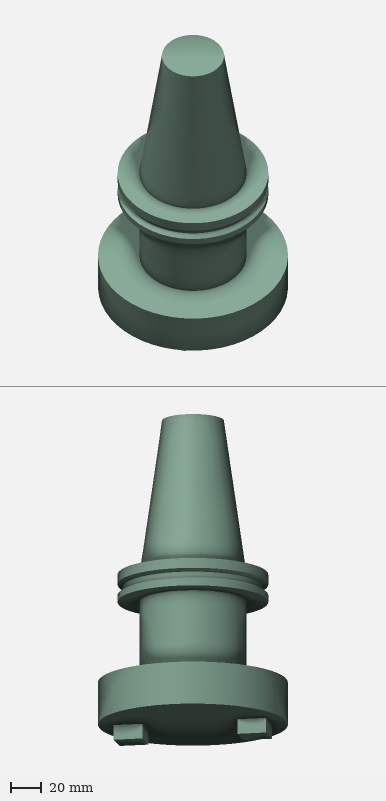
import cadquery as cq

overall_height = 212.8
key_height = 9.8
body_top = 37.9
flange_bottom = 91.7
lower_rim_top = 96.2
groove_bottom = 98.1
groove_top = 101.7
upper_rim_bottom = 103.5
flange_top = 110.0
collar_height = 1.0

body_radius = 123.9 / 2
neck_radius = 35.0
flange_radius = 49.2
groove_radius = 45.8
taper_small_radius = 20.2

key_width = 18.7
key_inner_edge = 31.7
key_outer_edge = 50.9
key_length = key_outer_edge - key_inner_edge


def make_holder():
    """Turned tool holder: body, neck, grooved flange and taper shank."""
    half_profile = [
        (0, key_height),
        (body_radius, key_height),
        (body_radius, body_top),
        (neck_radius, body_top),
        (neck_radius, flange_bottom),
        (flange_radius, flange_bottom),
        (flange_radius, lower_rim_top),
        (groove_radius, groove_bottom),
        (groove_radius, groove_top),
        (flange_radius, upper_rim_bottom),
        (flange_radius, flange_top),
        (neck_radius, flange_top),
        (neck_radius, flange_top + collar_height),
        (taper_small_radius, overall_height),
        (0, overall_height),
    ]
    return cq.Workplane("XZ").polyline(half_profile).close().revolve(360, (0, 0), (0, 1))


def make_keys():
    """Two opposite rectangular keys, one on each side along Y."""
    key_center = (key_inner_edge + key_outer_edge) / 2
    return (
        cq.Workplane("XY")
        .pushPoints([(0, -key_center), (0, key_center)])
        .rect(key_width, key_length)
        .extrude(key_height)
    )


result = make_holder().union(make_keys())